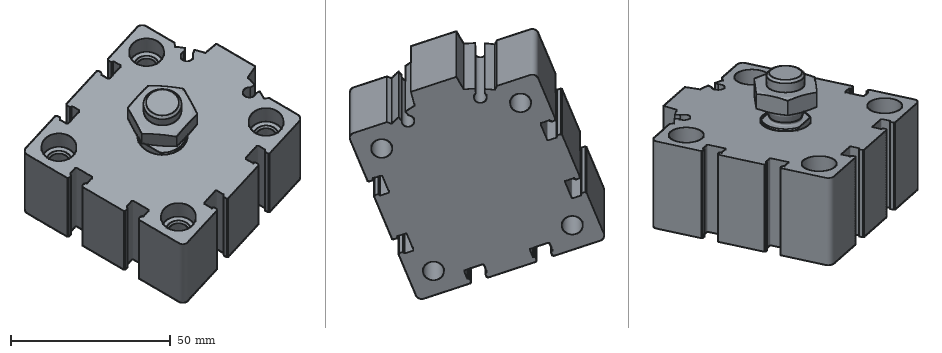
import cadquery as cq
import math

width = 63.0
depth = 70.5
body_height = 30.45
corner_radius = 2.0

half_width = width / 2
rib_tip_y = depth - half_width
rib_tip_half = 7.6
rib_root_half = 8.25
crown_radius = 35.0
notch_depth = 1.1

slot_offset = 11.0
slot_mouth_width = 5.15
slot_inner_width = 6.55
slot_lip = 1.9
slot_depth = 5.0
slot_fillet = 0.35
slot_lip_fillet = 0.35

groove_x = 12.1
groove_y = 29.55
groove_tilt = 18.5
groove_diameter = 4.0
groove_neck_width = 2.9
groove_neck_length = 4.6

hole_spacing = 46.5
hole_diameter = 6.6
hole_chamfer = 0.6
counterbore_diameter = 11.0
counterbore_depth = 7.0

rod_diameter = 16.0
rod_end_z = 0.6
rod_depth = 7.05
rod_chamfer = 0.4
flat_spacing = 13.2
flat_depth = 3.5

thread_diameter = 12.0
thread_tip_z = 16.65
thread_start_z = 4.15
tip_chamfer = 0.85
neck_diameter = 10.2
neck_fillet = 0.5
neck_top_z = 1.6
runout_diameter = 10.65
runout_z = 1.8
runout_bulge = 0.035

nut_flats = 19.1
nut_bottom_z = 6.6
nut_height = 6.0
nut_face_diameter = 18.6
nut_turn = 30.0
nut_chamfer_angle = 15.0


def crown_y(x):
    """Y of the crown arc at x."""
    return math.sqrt(crown_radius**2 - x**2)


def make_profile():
    notch_y = half_width - notch_depth
    notch_x = math.sqrt(crown_radius**2 - notch_y**2)
    mid_x = (notch_x + rib_root_half) / 2
    return (
        cq.Workplane("XY", origin=(0, 0, -body_height))
        .moveTo(-half_width, -half_width)
        .lineTo(half_width, -half_width)
        .lineTo(half_width, half_width)
        .lineTo(notch_x + notch_depth, half_width)
        .lineTo(notch_x, notch_y)
        .threePointArc((mid_x, crown_y(mid_x)), (rib_root_half, crown_y(rib_root_half)))
        .lineTo(rib_tip_half, rib_tip_y)
        .lineTo(-rib_tip_half, rib_tip_y)
        .lineTo(-rib_root_half, crown_y(rib_root_half))
        .threePointArc((-mid_x, crown_y(mid_x)), (-notch_x, notch_y))
        .lineTo(-notch_x - notch_depth, half_width)
        .lineTo(-half_width, half_width)
        .close()
        .extrude(body_height)
    )


def round_corners(body):
    """Round the four vertical corners of the square."""
    reach = 0.7
    for x in (-half_width, half_width):
        for y in (-half_width, half_width):
            box = cq.selectors.BoxSelector(
                (x - reach, y - reach, -body_height), (x + reach, y + reach, 0)
            )
            body = body.edges(box).fillet(corner_radius)
    return body


def make_t_slot():
    """T-slot cutter for the front face, centred on x = 0."""
    mouth = slot_mouth_width / 2
    inner = slot_inner_width / 2
    face_y = -half_width
    lip_y = face_y + slot_lip
    back_y = face_y + slot_depth
    flare = mouth + slot_lip_fillet
    half_slot = (
        cq.Workplane("XY", origin=(0, 0, -body_height))
        .moveTo(0, face_y)
        .lineTo(flare, face_y)
        .radiusArc((mouth, face_y + slot_lip_fillet), -slot_lip_fillet)
        .lineTo(mouth, lip_y - slot_lip_fillet)
        .radiusArc((flare, lip_y), -slot_lip_fillet)
        .lineTo(inner, lip_y)
        .lineTo(inner, back_y - slot_fillet)
        .radiusArc((inner - slot_fillet, back_y), -slot_fillet)
        .lineTo(0, back_y)
        .close()
        .extrude(body_height)
    )
    return half_slot.union(half_slot.mirror("YZ"))


def make_groove():
    """Keyhole groove cutter on the +X side of the rib."""
    base = cq.Workplane("XY", origin=(0, 0, -body_height))
    bottom = base.circle(groove_diameter / 2).extrude(body_height)
    neck = (
        base.center(0, groove_neck_length / 2)
        .rect(groove_neck_width, groove_neck_length)
        .extrude(body_height)
    )
    groove = bottom.union(neck)
    return groove.rotate((0, 0, 0), (0, 0, 1), -groove_tilt).translate((groove_x, groove_y, 0))


def cut_mounting_holes(body):
    floor_z = -counterbore_depth
    hole_radius = hole_diameter / 2
    hole = (
        cq.Workplane("XZ")
        .lineTo(counterbore_diameter / 2, 0)
        .lineTo(counterbore_diameter / 2, floor_z)
        .lineTo(hole_radius + hole_chamfer, floor_z)
        .lineTo(hole_radius, floor_z - hole_chamfer)
        .lineTo(hole_radius, -body_height)
        .lineTo(0, -body_height)
        .close()
        .revolve(360, (0, 0, 0), (0, 1, 0))
    )
    for x in (-hole_spacing / 2, hole_spacing / 2):
        for y in (-hole_spacing / 2, hole_spacing / 2):
            body = body.cut(hole.translate((x, y, 0)))
    return body


def make_housing():
    body = round_corners(make_profile())
    slot = make_t_slot()
    for face_angle in (-90, 0, 90):
        for x in (-slot_offset, slot_offset):
            body = body.cut(slot.translate((x, 0, 0)).rotate((0, 0, 0), (0, 0, 1), face_angle))
    groove = make_groove()
    for cutter in (groove, groove.mirror("YZ")):
        body = body.cut(cutter)
    body = cut_mounting_holes(body)
    rod_bore = cq.Workplane("XY").circle(rod_diameter / 2).extrude(-rod_depth)
    return body.cut(rod_bore)


def make_rod():
    rod_radius = rod_diameter / 2
    thread_radius = thread_diameter / 2
    neck_radius = neck_diameter / 2
    runout_radius = runout_diameter / 2
    fillet_mid = neck_fillet * (1 - math.sqrt(0.5))
    runout_mid = (
        (thread_radius + runout_radius) / 2 + runout_bulge,
        (thread_start_z + runout_z) / 2,
    )
    rod = (
        cq.Workplane("XZ")
        .moveTo(0, -rod_depth)
        .lineTo(rod_radius, -rod_depth)
        .lineTo(rod_radius, rod_end_z - rod_chamfer)
        .lineTo(rod_radius - rod_chamfer, rod_end_z)
        .lineTo(neck_radius + neck_fillet, rod_end_z)
        .threePointArc(
            (neck_radius + fillet_mid, rod_end_z + fillet_mid),
            (neck_radius, rod_end_z + neck_fillet),
        )
        .lineTo(neck_radius, neck_top_z)
        .lineTo(runout_radius, runout_z)
        .threePointArc(runout_mid, (thread_radius, thread_start_z))
        .lineTo(thread_radius, thread_tip_z - tip_chamfer)
        .lineTo(thread_radius - tip_chamfer, thread_tip_z)
        .lineTo(0, thread_tip_z)
        .close()
        .revolve(360, (0, 0, 0), (0, 1, 0))
    )
    flat_cut = cq.Workplane("XY").box(
        rod_diameter, rod_diameter, rod_end_z + flat_depth, centered=(True, False, False)
    )
    for turn in (0, 180):
        rod = rod.cut(
            flat_cut.translate((0, flat_spacing / 2, -flat_depth)).rotate((0, 0, 0), (0, 0, 1), turn)
        )
    return rod


def make_nut():
    hex_radius = nut_flats / math.sqrt(3)
    face_radius = nut_face_diameter / 2
    drop = (hex_radius - face_radius) * math.tan(math.radians(nut_chamfer_angle))
    hexagon = (
        cq.Workplane("XY")
        .polygon(6, 2 * hex_radius)
        .extrude(nut_height)
        .rotate((0, 0, 0), (0, 0, 1), nut_turn)
    )
    chamfered_blank = (
        cq.Workplane("XZ")
        .lineTo(face_radius, 0)
        .lineTo(hex_radius, drop)
        .lineTo(hex_radius, nut_height - drop)
        .lineTo(face_radius, nut_height)
        .lineTo(0, nut_height)
        .close()
        .revolve(360, (0, 0, 0), (0, 1, 0))
    )
    thread_hole = cq.Workplane("XY").circle(thread_diameter / 2).extrude(nut_height)
    return hexagon.intersect(chamfered_blank).cut(thread_hole).translate((0, 0, nut_bottom_z))


housing = make_housing()
rod = make_rod()
nut = make_nut()

result = cq.Compound.makeCompound([housing.val(), rod.val(), nut.val()])